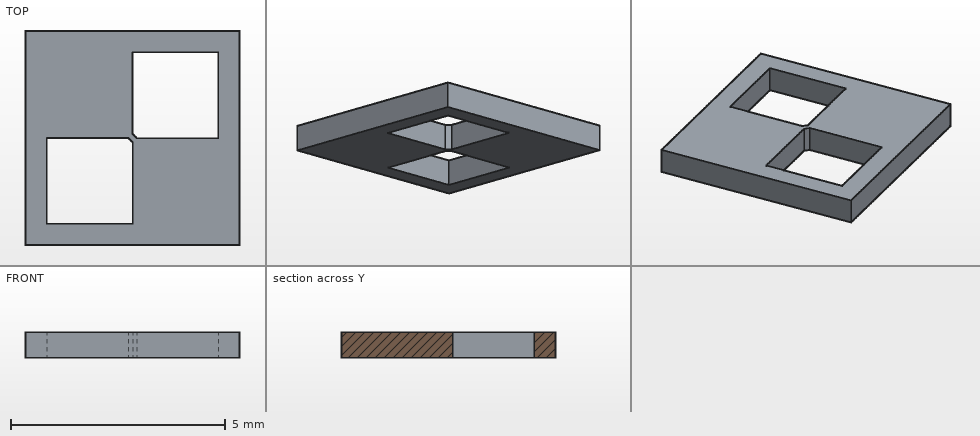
import cadquery as cq

plate_size = 5.0
plate_thickness = 0.6

window_size = 2.0
corner_chamfer = 0.1


def window(direction):
    """Through window in the +X+Y (direction = 1) or -X-Y (direction = -1) quadrant."""
    far = direction * window_size
    near = direction * corner_chamfer
    return (
        cq.Workplane("XY")
        .moveTo(near, 0)
        .lineTo(far, 0)
        .lineTo(far, far)
        .lineTo(0, far)
        .lineTo(0, near)
        .close()
        .extrude(plate_thickness)
    )


result = cq.Workplane("XY").box(plate_size, plate_size, plate_thickness, centered=(True, True, False))
for quadrant in (1, -1):
    result = result.cut(window(quadrant))